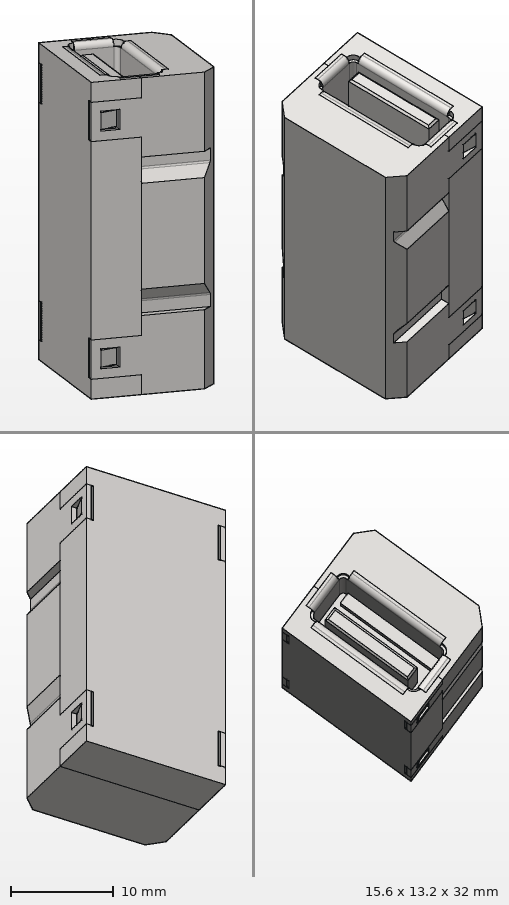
import cadquery as cq
import math


WIDTH = 15.6
DEPTH = 13.2
HEIGHT = 32.0
HALF_WIDTH = WIDTH / 2
BACK_CHAMFER = 1.5
SPLIT_Y = 5.2

TAB_THICKNESS = 0.55
TAB_HEIGHT = 3.97
TAB_END_OFFSET = 4.0
RELIEF_WIDTH = 0.25
RELIEF_DEPTH = 0.1
WINDOW_HEIGHT = 2.0
WINDOW_FRONT_Y = 1.0
WINDOW_BACK_Y = 2.95
HOOK_CLEARANCE = 0.15
HOOK_TIP = 0.03

GROOVE_END_OFFSET = 8.0
GROOVE_DEPTH = 0.93
GROOVE_FLOOR = 1.35
GROOVE_RAMP = 1.3
GROOVE_FILLET = 0.4

PORT_Y = 5.2
PORT_WIDTH = 12.5
PORT_DEPTH = 5.05
PORT_CORNER = 0.48
SHEET = 0.3
SHELL_BOTTOM = 19.2
LIP_RADIUS = 0.67
LIP_FLANGE = 0.32
LONG_LIP = 11.15
SHORT_LIP = 4.05
LIP_BOTTOM = HEIGHT - LIP_RADIUS

FLOOR_Z = 23.05
STEP_DEPTH = 1.25
STEP_HEIGHT = 1.28
TONGUE_TOP = 31.2
TONGUE_WIDTH = 10.05
TONGUE_FRONT_Y = 3.25
TONGUE_BACK_Y = 4.83
TONGUE_CHAMFER = 0.22


def box(x_range, y_range, z_range):
    """Axis-aligned block between the given limits."""
    lows, highs = zip(x_range, y_range, z_range)
    sizes = [high - low for low, high in zip(lows, highs)]
    return cq.Workplane("XY").box(*sizes, centered=False).translate(lows)


def on_both_sides(right_side):
    """The +X feature together with its mirror image at -X."""
    return [right_side, right_side.mirror("YZ")]


def at_corners(upper_right):
    """The feature at +X near the top, repeated at -X and near the bottom."""
    middle = (0, 0, HEIGHT / 2)
    pair = [upper_right, upper_right.mirror("XY", middle)]
    return [copy for feature in pair for copy in on_both_sides(feature)]


def port_prism(offset, bottom, top):
    """Rounded rectangular prism that runs outside the port wall by the given offset."""
    return (
        cq.Workplane("XY", origin=(0, PORT_Y, bottom))
        .rect(PORT_WIDTH + 2 * offset, PORT_DEPTH + 2 * offset)
        .extrude(top - bottom)
        .edges("|Z")
        .fillet(PORT_CORNER + offset)
    )


def lip_underside():
    """Hidden side of a lip, from the root out to the top of the flange end."""
    bend = LIP_RADIUS - SHEET
    diagonal = bend * math.sqrt(0.5)
    return (
        cq.Workplane("XZ")
        .moveTo(0, 0)
        .lineTo(SHEET, 0)
        .threePointArc((LIP_RADIUS - diagonal, diagonal), (LIP_RADIUS, bend))
        .lineTo(LIP_RADIUS + LIP_FLANGE, bend)
        .lineTo(LIP_RADIUS + LIP_FLANGE, LIP_RADIUS)
    )


def lip(length):
    """Sheet that flares outward through a quarter turn and ends in a flat flange."""
    diagonal = LIP_RADIUS * math.sqrt(0.5)
    return (
        lip_underside()
        .lineTo(LIP_RADIUS, LIP_RADIUS)
        .threePointArc((LIP_RADIUS - diagonal, diagonal), (0, 0))
        .close()
        .extrude(length / 2, both=True)
    )


def lip_recess(length):
    """Space taken out of the case for a lip and the open flare above it."""
    return lip_underside().lineTo(0, LIP_RADIUS).close().extrude(length / 2, both=True)


def around_port(make_feature):
    """Place a feature on the four walls of the port."""
    placed = []
    for angle in (0, 90, 180, 270):
        on_long_wall = angle in (90, 270)
        length = LONG_LIP if on_long_wall else SHORT_LIP
        reach = (PORT_DEPTH if on_long_wall else PORT_WIDTH) / 2
        feature = make_feature(length).translate((reach, 0, LIP_BOTTOM))
        placed.append(feature.rotate((0, 0, 0), (0, 0, 1), angle).translate((0, PORT_Y, 0)))
    return placed


def make_shell():
    shell = port_prism(SHEET, SHELL_BOTTOM, LIP_BOTTOM).cut(port_prism(0, SHELL_BOTTOM, LIP_BOTTOM))
    for flare in around_port(lip):
        shell = shell.union(flare)
    return shell


def make_insulator():
    insulator = port_prism(0, SHELL_BOTTOM, FLOOR_Z)
    tongue = box(
        (-TONGUE_WIDTH / 2, TONGUE_WIDTH / 2), (TONGUE_FRONT_Y, TONGUE_BACK_Y), (FLOOR_Z, TONGUE_TOP)
    )
    tongue = tongue.faces(">Z").chamfer(TONGUE_CHAMFER)
    back_wall = PORT_Y + PORT_DEPTH / 2
    step = box(
        (-LONG_LIP / 2, LONG_LIP / 2), (back_wall - STEP_DEPTH, back_wall), (FLOOR_Z, FLOOR_Z + STEP_HEIGHT)
    )
    return insulator.union(tongue).union(step)


def cut_port(case_half):
    """Remove the socket that holds the connector and its lips."""
    case_half = case_half.cut(port_prism(SHEET, SHELL_BOTTOM, HEIGHT))
    for recess in around_port(lip_recess):
        case_half = case_half.cut(recess)
    return case_half


TAB_INNER_X = HALF_WIDTH - TAB_THICKNESS
TAB_Z = HEIGHT - TAB_END_OFFSET


def z_span(height):
    """Z limits of a feature centred on the upper tab."""
    return (TAB_Z - height / 2, TAB_Z + height / 2)


def tab():
    return box((TAB_INNER_X, HALF_WIDTH), (0, SPLIT_Y), z_span(TAB_HEIGHT))


def window():
    return box((TAB_INNER_X, HALF_WIDTH), (WINDOW_FRONT_Y, WINDOW_BACK_Y), z_span(WINDOW_HEIGHT))


def relief():
    return box((TAB_INNER_X - RELIEF_WIDTH, TAB_INNER_X), (0, RELIEF_DEPTH), z_span(TAB_HEIGHT))


def hook():
    """Wedge that fills the tab thickness at its catch and thins toward the back."""
    hook_back_y = WINDOW_BACK_Y - HOOK_CLEARANCE
    hook_height = WINDOW_HEIGHT - 2 * HOOK_CLEARANCE
    return (
        cq.Workplane("XY", origin=(0, 0, TAB_Z))
        .moveTo(TAB_INNER_X, WINDOW_FRONT_Y)
        .lineTo(HALF_WIDTH, WINDOW_FRONT_Y)
        .lineTo(TAB_INNER_X + HOOK_TIP, hook_back_y)
        .lineTo(TAB_INNER_X, hook_back_y)
        .close()
        .extrude(hook_height / 2, both=True)
    )


def finger_groove():
    """Groove at +X near the top: square upper wall, flat floor, then a ramp out to the side."""
    wall_z = HEIGHT - GROOVE_END_OFFSET
    floor_x = HALF_WIDTH - GROOVE_DEPTH
    groove = (
        cq.Workplane("XZ", origin=(0, DEPTH, 0))
        .moveTo(HALF_WIDTH, wall_z)
        .lineTo(floor_x, wall_z)
        .lineTo(floor_x, wall_z - GROOVE_FLOOR)
        .lineTo(HALF_WIDTH, wall_z - GROOVE_FLOOR - GROOVE_RAMP)
        .close()
        .extrude(DEPTH - SPLIT_Y)
    )
    ramp_foot = cq.selectors.NearestToPointSelector((floor_x, (DEPTH + SPLIT_Y) / 2, wall_z - GROOVE_FLOOR))
    return groove.edges("|Y").edges(ramp_foot).fillet(GROOVE_FILLET)


def make_base():
    base = box((-HALF_WIDTH, HALF_WIDTH), (SPLIT_Y, DEPTH), (0, HEIGHT))
    base = base.edges("|Z and >Y").chamfer(BACK_CHAMFER)
    for groove in at_corners(finger_groove()):
        base = base.cut(groove)
    for snap_tab in at_corners(tab().cut(window())):
        base = base.union(snap_tab)
    return cut_port(base)


def make_cover():
    cover = box((-HALF_WIDTH, HALF_WIDTH), (0, SPLIT_Y), (0, HEIGHT))
    for notch in at_corners(tab().union(relief())):
        cover = cover.cut(notch)
    for snap_hook in at_corners(hook()):
        cover = cover.union(snap_hook)
    return cut_port(cover)


base = make_base()
cover = make_cover()
shell = make_shell()
insulator = make_insulator()

bodies = [base, cover, shell, insulator]
result = cq.Compound.makeCompound([body.solids().val() for body in bodies])